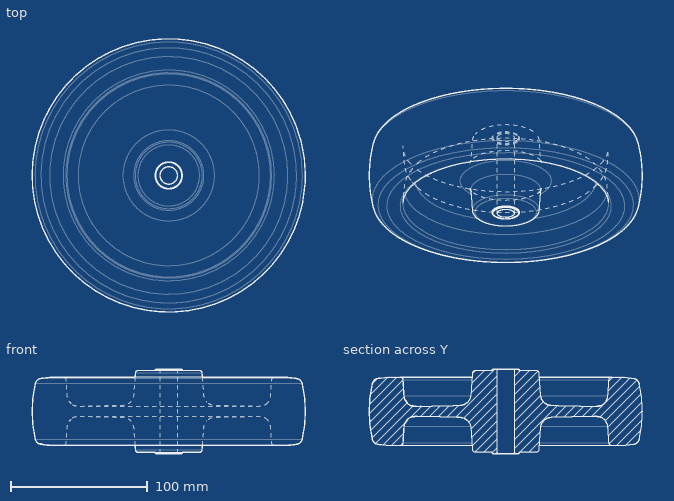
import cadquery as cq
import math

WHEEL_RADIUS = 100.0
CROWN_RADIUS = 90.0
RIM_HALF_WIDTH = 25.0
DRAFT = math.tan(math.radians(4.0))

SIDE_CONE_INNER_RADIUS = 87.0
SHOULDER_HEIGHT = 23.8
SHOULDER_FILLET = 5.0

RECESS_MOUTH_RADIUS = 75.3
WEB_HALF_THICKNESS = 4.6
WEB_SLOPE = math.tan(math.radians(1.3))
RECESS_FILLET = 8.0
RIM_EDGE_FILLET = 2.0

HUB_TOP_RADIUS = 24.3
HUB_HALF_LENGTH = 30.0
HUB_EDGE_FILLET = 2.0

SLEEVE_RADIUS = 10.0
SLEEVE_HALF_LENGTH = 31.0
SLEEVE_CHAMFER = 0.5
BORE_RADIUS = 6.3

RADIUS_TOLERANCE = 0.001

HUB_BASE_RADIUS = HUB_TOP_RADIUS + DRAFT * (HUB_HALF_LENGTH - WEB_HALF_THICKNESS)
WALL_RADIUS_AT_HUB_LEVEL = RECESS_MOUTH_RADIUS - DRAFT * (RIM_HALF_WIDTH - WEB_HALF_THICKNESS)
WEB_SPAN = (WALL_RADIUS_AT_HUB_LEVEL - HUB_BASE_RADIUS) / (1 + DRAFT * WEB_SLOPE)
RECESS_FLOOR_RADIUS = HUB_BASE_RADIUS + WEB_SPAN
WEB_RIM_HALF_THICKNESS = WEB_HALF_THICKNESS - WEB_SLOPE * WEB_SPAN


def tread_radius(z):
    """Radius of the crowned tread at height z."""
    return WHEEL_RADIUS - CROWN_RADIUS + math.sqrt(CROWN_RADIUS**2 - z**2)


SHOULDER_RADIUS = tread_radius(SHOULDER_HEIGHT)


def sharp_wheel():
    """Solid of revolution with all corners still sharp."""
    upper = [
        (HUB_TOP_RADIUS, HUB_HALF_LENGTH),
        (HUB_BASE_RADIUS, WEB_HALF_THICKNESS),
        (RECESS_FLOOR_RADIUS, WEB_RIM_HALF_THICKNESS),
        (RECESS_MOUTH_RADIUS, RIM_HALF_WIDTH),
        (SIDE_CONE_INNER_RADIUS, RIM_HALF_WIDTH),
        (SHOULDER_RADIUS, SHOULDER_HEIGHT),
    ]
    lower = [(r, -z) for r, z in reversed(upper)]
    profile = (
        cq.Workplane("XZ")
        .moveTo(0, HUB_HALF_LENGTH)
        .polyline(upper, includeCurrent=True)
        .threePointArc((WHEEL_RADIUS, 0), lower[0])
        .polyline(lower[1:], includeCurrent=True)
        .lineTo(0, -HUB_HALF_LENGTH)
        .close()
    )
    return profile.revolve(360, (0, 0, 0), (0, 1, 0))


def fillet_circles(body, circle_radius, fillet):
    """Round the circular edges of the given radius on both sides of the wheel."""
    def matches(edge):
        return edge.geomType() == "CIRCLE" and abs(edge.radius() - circle_radius) < RADIUS_TOLERANCE

    return body.edges().filter(matches).fillet(fillet)


def rounded_wheel():
    """Wheel with its shoulder, rim, recess and hub corners rounded."""
    body = sharp_wheel()
    body = fillet_circles(body, SHOULDER_RADIUS, SHOULDER_FILLET)
    body = fillet_circles(body, RECESS_MOUTH_RADIUS, RIM_EDGE_FILLET)
    body = fillet_circles(body, RECESS_FLOOR_RADIUS, RECESS_FILLET)
    body = fillet_circles(body, HUB_BASE_RADIUS, RECESS_FILLET)
    return fillet_circles(body, HUB_TOP_RADIUS, HUB_EDGE_FILLET)


def sleeve():
    """Axle sleeve, standing proud of both hub ends."""
    return (
        cq.Workplane("XY")
        .circle(SLEEVE_RADIUS)
        .extrude(SLEEVE_HALF_LENGTH, both=True)
        .faces("|Z")
        .edges()
        .chamfer(SLEEVE_CHAMFER)
    )


def bore():
    """Axle hole through the full length of the sleeve."""
    return cq.Workplane("XY").circle(BORE_RADIUS).extrude(SLEEVE_HALF_LENGTH, both=True)


result = rounded_wheel().union(sleeve()).cut(bore())